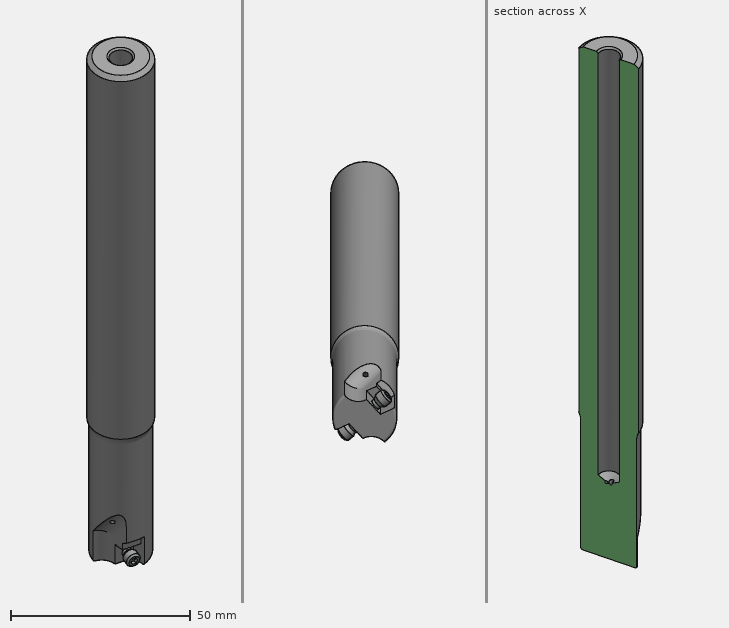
import cadquery as cq
import math

total_length = 183.0
shank_radius = 9.5
shank_chamfer_width = 1.5
shank_chamfer_height = 1.1
shank_end_z = 49.5
neck_radius = 9.0
step_cone_drop = 1.1
step_cone_end_radius = 9.1
step_blend_drop = 1.1
tip_round = 0.7

bore_radius = 3.3
bore_mouth_radius = 3.8
bore_floor_z = 29.3
drill_point_height = 1.8
branch_radius = 0.7
branch_exit_x = 5.1
branch_exit_y = -5.5
branch_exit_z = 16.0

flute_count = 2
flute_floor_x = 0.4
flute_wall_y = -5.1
flute_wall_tilt = 16.0
flute_bend_z = 11.3
flute_top_z = 24.1
flute_fillet = 5.0
clearance = 3.7

seat_x = 4.2
seat_height = 7.1
relief_x = 7.1
seat_back_floor_y = 1.8
seat_back_rim_y = 3.1
relief_floor_z = 9.5
relief_rim_z = 10.8

screw_z = 3.1
screw_y = -0.4
screw_end_x = 1.8
screw_shaft_radius = 1.5
screw_cone_x = 5.1
screw_head_x = 6.2
screw_head_radius = 2.2
screw_head_top_x = 8.8
screw_rim_chamfer = 0.5
socket_sides = 6
socket_radius = 1.1
socket_depth = 1.1

cutter_outer = shank_radius + clearance


def spin_to_flute(shape, index):
    return shape.rotate((0, 0, 0), (0, 0, 1), index * 360.0 / flute_count)


def make_blank():
    cone_end_z = shank_end_z - step_cone_drop
    neck_top_z = cone_end_z - step_blend_drop
    return (
        cq.Workplane("XZ")
        .moveTo(0, 0)
        .lineTo(neck_radius - tip_round, 0)
        .radiusArc((neck_radius, tip_round), -tip_round)
        .lineTo(neck_radius, neck_top_z)
        .lineTo(step_cone_end_radius, cone_end_z)
        .lineTo(shank_radius, shank_end_z)
        .lineTo(shank_radius, total_length - shank_chamfer_height)
        .lineTo(shank_radius - shank_chamfer_width, total_length)
        .lineTo(0, total_length)
        .close()
        .revolve(360, (0, 0), (0, 1))
    )


def make_bore():
    mouth_depth = bore_mouth_radius - bore_radius
    return (
        cq.Workplane("XZ")
        .moveTo(0, bore_floor_z - drill_point_height)
        .lineTo(bore_radius, bore_floor_z)
        .lineTo(bore_radius, total_length - mouth_depth)
        .lineTo(bore_mouth_radius, total_length)
        .lineTo(0, total_length)
        .close()
        .revolve(360, (0, 0), (0, 1))
    )


def make_branch():
    start = cq.Vector(0, 0, bore_floor_z)
    path = cq.Vector(branch_exit_x, branch_exit_y, branch_exit_z) - start
    length = path.Length + branch_radius
    return cq.Workplane(cq.Solid.makeCylinder(branch_radius, length, start, path))


def meet_prisms(plan, side):
    """Solid with the plan outline seen along Z and the side outline (X, Z) seen along Y."""
    upright = (
        cq.Workplane("XY", origin=(0, 0, -cutter_outer))
        .polyline(plan)
        .close()
        .extrude(cutter_outer + flute_top_z + clearance)
    )
    level = cq.Workplane("XZ").polyline(side).close().extrude(cutter_outer, both=True)
    return upright.intersect(level)


def flute_wall_y_at(x):
    return flute_wall_y + (x - flute_floor_x) * math.tan(math.radians(flute_wall_tilt))


def make_flute():
    plan = [
        (flute_floor_x, -cutter_outer),
        (flute_floor_x, flute_wall_y),
        (cutter_outer, flute_wall_y_at(cutter_outer)),
        (cutter_outer, -cutter_outer),
    ]
    side = [
        (flute_floor_x, -clearance),
        (flute_floor_x, flute_bend_z),
        (neck_radius, flute_top_z),
        (cutter_outer, flute_top_z),
        (cutter_outer, -clearance),
    ]
    ramp_x = (flute_floor_x + neck_radius) / 2
    ramp_z = (flute_bend_z + flute_top_z) / 2
    floor_edge = cq.selectors.NearestToPointSelector((flute_floor_x, flute_wall_y, flute_bend_z / 2))
    ramp_edge = cq.selectors.NearestToPointSelector((ramp_x, flute_wall_y_at(ramp_x), ramp_z))
    return meet_prisms(plan, side).edges(floor_edge + ramp_edge).fillet(flute_fillet)


def make_seat():
    plan = [
        (seat_x, -cutter_outer),
        (seat_x, seat_back_floor_y),
        (neck_radius, seat_back_rim_y),
        (cutter_outer, seat_back_rim_y),
        (cutter_outer, -cutter_outer),
    ]
    side = [
        (seat_x, -clearance),
        (seat_x, seat_height),
        (relief_x, seat_height),
        (relief_x, relief_floor_z),
        (neck_radius, relief_rim_z),
        (cutter_outer, relief_rim_z),
        (cutter_outer, -clearance),
    ]
    return meet_prisms(plan, side)


def make_screw_body():
    outline = [
        (screw_end_x, 0),
        (screw_end_x, screw_shaft_radius),
        (screw_cone_x, screw_shaft_radius),
        (screw_head_x, screw_head_radius),
        (screw_head_top_x - screw_rim_chamfer, screw_head_radius),
        (screw_head_top_x, screw_head_radius - screw_rim_chamfer),
        (screw_head_top_x, 0),
    ]
    return (
        cq.Workplane("XZ", origin=(0, screw_y, screw_z))
        .polyline(outline)
        .close()
        .revolve(360, (0, 0), (1, 0))
    )


def make_screw():
    socket = (
        cq.Workplane("YZ", origin=(screw_head_top_x - socket_depth, screw_y, screw_z))
        .polygon(socket_sides, 2 * socket_radius)
        .extrude(socket_depth)
    )
    return make_screw_body().cut(socket)


holder = make_blank().cut(make_bore())
screws = []
for index in range(flute_count):
    for cutter in (make_branch(), make_flute(), make_seat(), make_screw_body()):
        holder = holder.cut(spin_to_flute(cutter, index))
    screws.append(spin_to_flute(make_screw(), index).val())

result = cq.Compound.makeCompound([holder.val(), *screws])